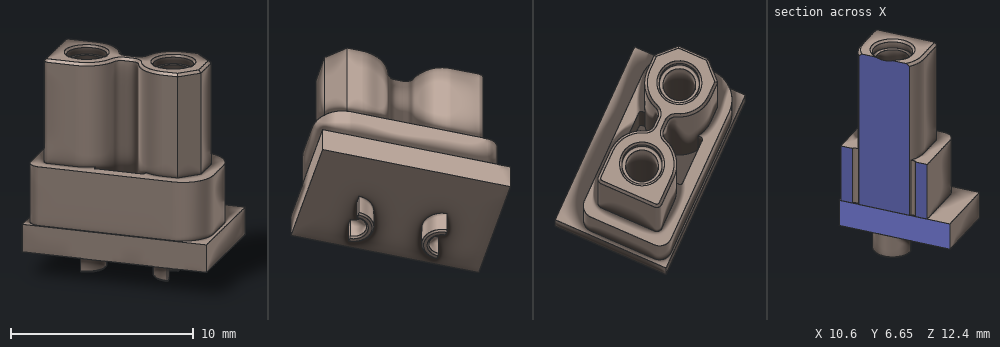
import cadquery as cq
import math


SOCKET_SPACING = 5.0
SOCKET_X = SOCKET_SPACING / 2
CONTACT_RADIUS = 1.1

PLATE_LENGTH = 10.64
PLATE_WIDTH = 6.65
PLATE_THICKNESS = 1.6
PLATE_FRONT_MARGIN = 0.1

CUP_LENGTH = 1.4
CUP_BORE_RADIUS = 0.71
CUP_CHAMFER = 0.1

COLLAR_LENGTH = 10.2
COLLAR_WIDTH = 5.2
COLLAR_HEIGHT = 3.4
COLLAR_SMALL_RADIUS = 0.7
COLLAR_LARGE_RADIUS = 1.75

TOWER_LENGTH = 8.79
TOWER_WIDTH = 3.8
TOWER_HEIGHT = 6.0
TOWER_CORNER_RADIUS = 0.3
TOWER_CORNER_CUT = 1.0
TOWER_TOP_CHAMFER = 0.15
NECK_WIDTH = 0.6
NECK_FILLET = 0.5

MOUTH_CHAMFER = 0.12
MOUTH_DEPTH = 0.5
BORE_RADIUS = 0.89

RECESS_LENGTH = 2.9
RECESS_CORNER_RADIUS = 0.15

HOUSING_HEIGHT = COLLAR_HEIGHT + TOWER_HEIGHT
PLATE_FRONT_Y = -COLLAR_WIDTH / 2 - PLATE_FRONT_MARGIN


def make_solder_cup(x, start_angle):
    """Half tube hanging from the plate, covering 180 degrees from start_angle."""
    top = -PLATE_THICKNESS
    bottom = top - CUP_LENGTH
    profile = [
        (CUP_BORE_RADIUS, top),
        (CONTACT_RADIUS, top),
        (CONTACT_RADIUS, bottom + CUP_CHAMFER),
        (CONTACT_RADIUS - CUP_CHAMFER, bottom),
        (CUP_BORE_RADIUS + CUP_CHAMFER, bottom),
        (CUP_BORE_RADIUS, bottom + CUP_CHAMFER),
    ]
    half_tube = cq.Workplane("XZ").polyline(profile).close().revolve(180, (0, 0), (0, 1))
    return half_tube.rotate((0, 0, 0), (0, 0, 1), start_angle).translate((x, 0, 0))


def make_base():
    """Plate with two solder cups that open away from each other."""
    base = cq.Workplane("XY").box(
        PLATE_LENGTH, PLATE_WIDTH, PLATE_THICKNESS, centered=(True, False, False)
    ).translate((0, PLATE_FRONT_Y, -PLATE_THICKNESS))
    for x, start_angle in ((-SOCKET_X, -90), (SOCKET_X, 90)):
        base = base.union(make_solder_cup(x, start_angle))
    return base


def make_collar():
    """Block with small corners at -X and large corners at +X."""
    collar = cq.Workplane("XY").box(
        COLLAR_LENGTH, COLLAR_WIDTH, COLLAR_HEIGHT, centered=(True, True, False)
    )
    collar = collar.edges("|Z and <X").fillet(COLLAR_SMALL_RADIUS)
    return collar.edges("|Z and >X").fillet(COLLAR_LARGE_RADIUS)


def make_tower():
    """Two lobes joined by a thin neck: square end at -X, cut corners at +X."""
    end_x = TOWER_LENGTH / 2
    lobe_radius = TOWER_WIDTH / 2
    neck_y = NECK_WIDTH / 2

    centre_distance = lobe_radius + NECK_FILLET
    fillet_y = neck_y + NECK_FILLET
    lean = math.asin(fillet_y / centre_distance)
    fillet_x = SOCKET_X - centre_distance * math.cos(lean)
    tangent_x = SOCKET_X - lobe_radius * math.cos(lean)
    tangent_y = lobe_radius * math.sin(lean)

    mid_angle = (math.pi / 2 + lean) / 2
    lobe_mid_x = SOCKET_X - lobe_radius * math.cos(mid_angle)
    lobe_mid_y = lobe_radius * math.sin(mid_angle)
    fillet_mid_x = fillet_x + NECK_FILLET * math.cos(mid_angle)
    fillet_mid_y = fillet_y - NECK_FILLET * math.sin(mid_angle)

    half_outline = (
        cq.Workplane("XY")
        .moveTo(-end_x, 0)
        .lineTo(-end_x, lobe_radius)
        .lineTo(-SOCKET_X, lobe_radius)
        .threePointArc((-lobe_mid_x, lobe_mid_y), (-tangent_x, tangent_y))
        .threePointArc((-fillet_mid_x, fillet_mid_y), (-fillet_x, neck_y))
        .lineTo(fillet_x, neck_y)
        .threePointArc((fillet_mid_x, fillet_mid_y), (tangent_x, tangent_y))
        .threePointArc((lobe_mid_x, lobe_mid_y), (SOCKET_X, lobe_radius))
        .lineTo(end_x - TOWER_CORNER_CUT, lobe_radius)
        .lineTo(end_x, lobe_radius - TOWER_CORNER_CUT)
        .lineTo(end_x, 0)
    )
    tower = half_outline.mirrorX().extrude(HOUSING_HEIGHT)
    tower = tower.edges("|Z and <X").fillet(TOWER_CORNER_RADIUS)
    return tower.faces(">Z").chamfer(TOWER_TOP_CHAMFER)


def make_recesses():
    """Rounded block through the collar; the tower fills its middle."""
    return (
        cq.Workplane("XY")
        .rect(RECESS_LENGTH, TOWER_WIDTH)
        .extrude(COLLAR_HEIGHT)
        .edges("|Z")
        .fillet(RECESS_CORNER_RADIUS)
    )


def make_socket_bore(x):
    """Chamfered mouth above a narrower bore that runs down to the plate."""
    profile = [
        (0, 0),
        (BORE_RADIUS, 0),
        (BORE_RADIUS, HOUSING_HEIGHT - MOUTH_DEPTH),
        (CONTACT_RADIUS, HOUSING_HEIGHT - MOUTH_DEPTH),
        (CONTACT_RADIUS, HOUSING_HEIGHT - MOUTH_CHAMFER),
        (CONTACT_RADIUS + MOUTH_CHAMFER, HOUSING_HEIGHT),
        (0, HOUSING_HEIGHT),
    ]
    bore = cq.Workplane("XZ").polyline(profile).close().revolve(360, (0, 0), (0, 1))
    return bore.translate((x, 0, 0))


def make_housing():
    """Recessed collar and tower in one piece, bored for both sockets."""
    housing = make_collar().cut(make_recesses()).union(make_tower())
    for x in (-SOCKET_X, SOCKET_X):
        housing = housing.cut(make_socket_bore(x))
    return housing


base = make_base()
housing = make_housing()
result = cq.Compound.makeCompound([base.solids().val(), housing.solids().val()])